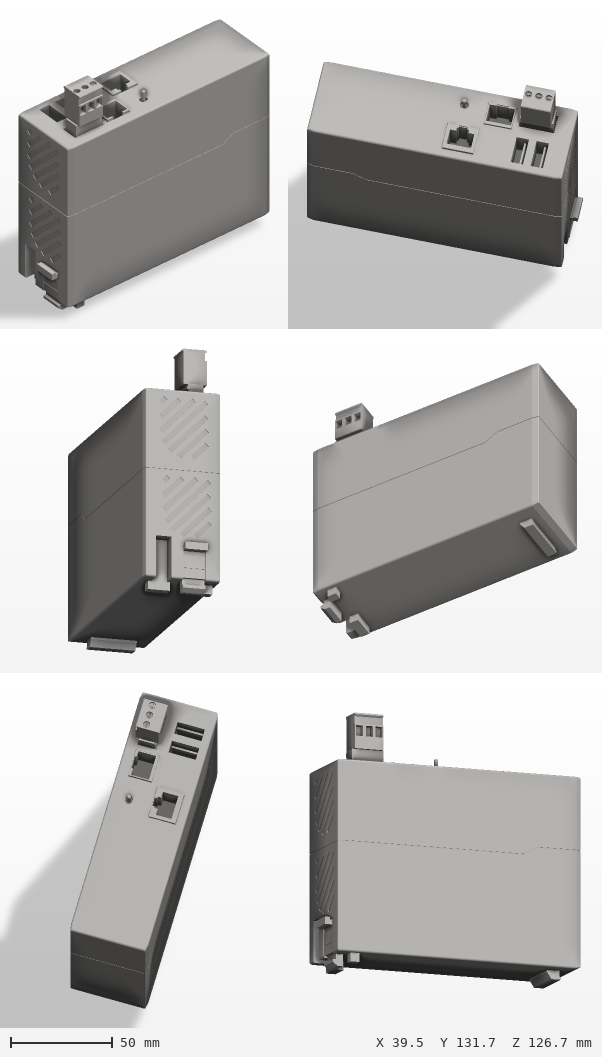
import cadquery as cq
import math


width = 39.5
depth = 127.9
height = 96.2
half_width = width / 2
end_taper_length = 3.5
end_taper = 0.7
corner_radius = 0.5
rim_radius = 1.0
rear_bevel_rise = 1.0

seam_width = 0.4
seam_depth = 0.3
seam_front_z = 55.1
seam_rear_z = 59.0
seam_ramp_front_y = 98.0
seam_ramp_rear_y = 104.7

vent_depth = 0.4
vent_bar_width = 2.6
vent_pitch = 7.2
vent_spans = [(0, 2.4), (0, 9.4), (0, 16.9), (1.3, 23.3), (4.5, 23.3), (9.2, 23.7), (16.3, 23.7)]
upper_vent_corner = (-12.3, 90.1)
lower_vent_corner = (-10.8, 50.0)

cable_slot_x = (-13.8, -5.9)
cable_slot_top = 21.1
foot_y = (7.4, 12.3)
foot_height = 4.5
foot_x_ranges = [(-15.7, -4.3), (13.2, 17.4)]

latch_x = (0.1, 11.7)
latch_top = 18.2
latch_step_z = 12.3
latch_upper_recess = 0.5
latch_lower_recess = 0.3
latch_groove_z = 5.5
latch_reach = 3.8
latch_drop = 6.0
latch_relief = (2.0, 0.8)
tab_bottom = 14.5
tab_shoulder = 16.9
tab_lip = 2.5
hook_half_length = latch_x[1]

socket_depth = 13.2
socket_gap = 0.4
socket_gap_depth = 0.7
network_jack_x = (-15.2, -1.6)
network_jack_y = (45.3, 61.0)
network_jack_rise = 0.8
serial_jack_x = (2.0, 13.7)
serial_jack_y = (29.9, 43.6)
serial_jack_rise = 1.2
usb_x = (-15.5, -1.6)
usb_opening = 6.2
usb_front_edges = [10.3, 20.3]
usb_tongue_y = (1.3, 2.2)
usb_tongue_drop = 4.0

toggle_x = 10.1
toggle_y = 55.3
toggle_hole_diameter = 3.5
toggle_hole_length = 4.5
toggle_hole_depth = 1.3
toggle_diameter = 2.0
toggle_rise = 5.3
toggle_chamfer = 0.4

plug_center_y = 18.0
plug_top = height + 24.5
plug_bottom = height + 6.6
plug_length = 14.9
plug_top_chamfer = 0.4
plug_x = (3.7, 15.5)
plug_lip = 0.5
plug_lip_height = 0.9
plug_lip_end = 1.7
plug_notch_depth = 0.9
plug_notch_bottom = 115.3
neck_x = (5.9, 13.7)
neck_length = 16.6
neck_ridge = 0.9
neck_ridge_z = height + 3.8
plug_seat_depth = 5.3
plug_seat_x = (4.5, 14.1)
plug_seat_y = (9.0, 26.9)
screw_x = 10.5
screw_pitch = 5.1
screw_diameter = 3.5
screw_recess = 1.6
driver_slot_width = 0.9
driver_slot_depth = 0.7
wire_entry_z = (109.1, 114.4)
wire_entry_floor_x = 12.0
wire_entry_width = 3.7


def block(x_range, y_range, z_range):
    """Box between the given limits."""
    size = [high - low for low, high in (x_range, y_range, z_range)]
    corner = (x_range[0], y_range[0], z_range[0])
    return cq.Workplane("XY").box(*size, centered=False).translate(corner)


def extrude_along_x(profile, x_range):
    """Closed (Y, Z) profile extruded between two X positions."""
    length = x_range[1] - x_range[0]
    return cq.Workplane("YZ").workplane(offset=x_range[0]).polyline(profile).close().extrude(length)


def plan_outline(inset):
    """(X, Y) corners of the housing plan, moved inward by an inset."""
    side = half_width - inset
    end = side - end_taper
    right = [
        (end, inset),
        (side, end_taper_length),
        (side, depth - end_taper_length),
        (end, depth - inset),
    ]
    left = [(-x, y) for x, y in reversed(right)]
    return right + left


def shell_prism(inset):
    """Full-height prism of the housing plan with rounded upright end corners."""
    prism = cq.Workplane("XY").polyline(plan_outline(inset)).close().extrude(height)
    end_corners = prism.edges("|Z").filter(
        lambda edge: abs(edge.Center().y - depth / 2) > depth / 2 - end_taper_length / 2
    )
    return prism.newObject(end_corners.vals()).fillet(corner_radius)


def make_shell():
    shell = shell_prism(0).faces("<Z or >Z").edges().fillet(rim_radius)
    rear_bevel = extrude_along_x(
        [(depth - end_taper_length, 0), (depth, rear_bevel_rise), (depth, 0)],
        (-half_width, half_width),
    )
    return shell.cut(rear_bevel)


def make_seam():
    """Ring that runs around the housing and steps up towards the rear."""
    lower_line = [
        (0, seam_front_z),
        (seam_ramp_front_y, seam_front_z),
        (seam_ramp_rear_y, seam_rear_z),
        (depth, seam_rear_z),
    ]
    upper_line = [(y, z + seam_width) for y, z in reversed(lower_line)]
    slab = extrude_along_x(lower_line + upper_line, (-half_width, half_width))
    return slab.cut(shell_prism(seam_depth))


def make_vents(corner):
    """Diagonal bars at 45 degrees; the corner is the left tip of the first bar."""
    corner_x, corner_z = corner
    shift = vent_bar_width / math.sqrt(2)
    vents = cq.Workplane("XZ")
    for index, (start, end) in enumerate(vent_spans):
        left_tip = (corner_x + start, corner_z - index * vent_pitch + start)
        top_tip = (corner_x + end, corner_z - index * vent_pitch + end)
        right_tip = (top_tip[0] + shift, top_tip[1] - shift)
        bottom_tip = (left_tip[0] + shift, left_tip[1] - shift)
        vents = vents.polyline([left_tip, top_tip, right_tip, bottom_tip]).close()
    return vents.extrude(-vent_depth)


def add_rail_feet(housing):
    housing = housing.cut(block(cable_slot_x, (0, foot_y[0]), (0, cable_slot_top)))
    for x_range in foot_x_ranges:
        housing = housing.union(block(x_range, foot_y, (-foot_height, rim_radius)))
    return housing


def add_latch(housing):
    """Recessed latch plate with a finger tab above and a rail claw below."""
    housing = housing.cut(block(latch_x, (0, latch_upper_recess), (latch_step_z, latch_top)))
    housing = housing.cut(block(latch_x, (0, latch_lower_recess), (0, latch_step_z)))
    groove_z = (latch_groove_z, latch_groove_z + seam_width)
    housing = housing.cut(block(latch_x, (0, latch_upper_recess), groove_z))
    housing = housing.cut(block(latch_x, (0, latch_relief[0]), (0, latch_relief[1])))
    tab = [
        (latch_upper_recess, tab_bottom),
        (-latch_reach, tab_bottom),
        (-latch_reach, latch_top),
        (-latch_reach + tab_lip, latch_top),
        (-latch_reach + tab_lip, tab_shoulder),
        (latch_upper_recess, tab_shoulder),
    ]
    claw = [
        (5.5, rim_radius),
        (5.5, -latch_drop),
        (2.9, -latch_drop),
        (0.3, -4.2),
        (0.3, -2.6),
        (latch_relief[0], -2.6),
        (latch_relief[0], rim_radius),
    ]
    return housing.union(extrude_along_x(tab, latch_x)).union(extrude_along_x(claw, latch_x))


def add_rear_hook(housing):
    hook = [
        (113.2, 0.7),
        (119.6, 0.7),
        (119.6, -2.8),
        (120.4, -3.5),
        (120.4, -foot_height),
        (115.4, -foot_height),
        (113.2, -1.0),
    ]
    return housing.union(extrude_along_x(hook, (-hook_half_length, hook_half_length)))


def add_network_jack(housing):
    """Raised jack in a slightly larger opening, with a stepped keyway on its right."""
    x_low, x_high = network_jack_x
    y_low, y_high = network_jack_y
    top = height + network_jack_rise
    opening_x = (x_low - socket_gap, x_high + socket_gap)
    opening_y = (y_low, y_high + socket_gap)
    housing = housing.cut(block(opening_x, opening_y, (height - socket_gap_depth, height)))
    housing = housing.union(block(network_jack_x, network_jack_y, (height - socket_gap_depth, top)))
    cavity_z = (height - socket_depth, top)
    housing = housing.cut(block((-12.6, -4.7), (47.0, 59.3), cavity_z))
    housing = housing.cut(block((-4.7, -3.0), (50.0, 56.1), cavity_z))
    return housing.cut(block((-3.0, x_high), (51.0, 55.3), cavity_z))


def add_serial_jack(housing):
    """Raised thin-walled jack with one wide keyway on its right."""
    x_low, x_high = serial_jack_x
    y_low, y_high = serial_jack_y
    top = height + serial_jack_rise
    opening_x = (x_low, x_high + socket_gap)
    opening_y = (y_low - socket_gap, y_high + socket_gap)
    housing = housing.cut(block(opening_x, opening_y, (height - socket_gap_depth, height)))
    housing = housing.union(block(serial_jack_x, serial_jack_y, (height - socket_gap_depth, top)))
    cavity_z = (height - socket_depth, top)
    housing = housing.cut(block((3.5, 12.6), (30.5, 43.1), cavity_z))
    return housing.cut(block((12.6, x_high), (33.5, 39.7), cavity_z))


def add_usb_ports(housing):
    for front_y in usb_front_edges:
        pocket_z = (height - socket_depth, height)
        housing = housing.cut(block(usb_x, (front_y, front_y + usb_opening), pocket_z))
        tongue_x = (usb_x[0] + socket_gap, usb_x[1] - socket_gap)
        tongue_y = (front_y + usb_tongue_y[0], front_y + usb_tongue_y[1])
        tongue_z = (height - socket_depth, height - usb_tongue_drop)
        housing = housing.union(block(tongue_x, tongue_y, tongue_z))
    return housing


def add_toggle(housing):
    hole = (
        cq.Workplane("XY", origin=(toggle_x, toggle_y, height))
        .slot2D(toggle_hole_length, toggle_hole_diameter, 90)
        .extrude(-toggle_hole_depth)
    )
    lever = (
        cq.Workplane("XY", origin=(toggle_x, toggle_y, height - toggle_hole_depth))
        .circle(toggle_diameter / 2)
        .extrude(toggle_hole_depth + toggle_rise)
        .faces(">Z")
        .chamfer(toggle_chamfer)
    )
    return housing.cut(hole).union(lever)


def make_housing():
    housing = make_shell()
    housing = housing.cut(make_seam())
    for corner in (upper_vent_corner, lower_vent_corner):
        housing = housing.cut(make_vents(corner))
    housing = add_rail_feet(housing)
    housing = add_latch(housing)
    housing = add_rear_hook(housing)
    housing = add_network_jack(housing)
    housing = add_serial_jack(housing)
    housing = add_usb_ports(housing)
    housing = add_toggle(housing)
    return housing.cut(block(plug_seat_x, plug_seat_y, (height - plug_seat_depth, height)))


def centered_range(center, length):
    return (center - length / 2, center + length / 2)


def extrude_plug_profile(profile, length):
    """Closed (X, Z) profile extruded evenly to both sides of the plug's middle."""
    start = (0, plug_center_y, 0)
    return cq.Workplane("XZ", origin=start).polyline(profile).close().extrude(length / 2, both=True)


def make_plug_body():
    left, right = plug_x
    notch_x = right - plug_notch_depth
    body = extrude_plug_profile(
        [
            (left, plug_bottom),
            (right, plug_bottom),
            (right, plug_notch_bottom),
            (notch_x, plug_notch_bottom),
            (notch_x, plug_top - plug_lip_end),
            (right, plug_top - plug_lip_height),
            (right, plug_top),
            (left - plug_lip, plug_top),
            (left - plug_lip, plug_top - plug_lip_height),
            (left, plug_top - plug_lip_end),
        ],
        plug_length,
    )
    return body.faces(">Z").edges("|Y").chamfer(plug_top_chamfer)


def make_plug_neck():
    """Narrow lower part that sits on the floor of the socket, with a sloped ridge on its left."""
    left, right = neck_x
    seat_z = height - plug_seat_depth
    return extrude_plug_profile(
        [
            (left, seat_z),
            (right, seat_z),
            (right, plug_bottom),
            (left, plug_bottom),
            (left - neck_ridge, neck_ridge_z),
            (left, neck_ridge_z),
        ],
        neck_length,
    )


def make_plug():
    plug = make_plug_body().union(make_plug_neck())
    recess_floor = plug_top - screw_recess
    for index in (-1, 0, 1):
        terminal_y = plug_center_y + index * screw_pitch
        recess = (
            cq.Workplane("XY", origin=(screw_x, terminal_y, recess_floor))
            .circle(screw_diameter / 2)
            .extrude(screw_recess)
        )
        driver_slot = (
            cq.Workplane("XY", origin=(screw_x, terminal_y, recess_floor))
            .rect(driver_slot_width, screw_diameter - driver_slot_width)
            .extrude(-driver_slot_depth)
        )
        entry_x = (wire_entry_floor_x, plug_x[1])
        wire_entry = block(entry_x, centered_range(terminal_y, wire_entry_width), wire_entry_z)
        plug = plug.cut(recess).cut(driver_slot).cut(wire_entry)
    return plug


housing = make_housing()
terminal_plug = make_plug()

result = cq.Compound.makeCompound([housing.val(), terminal_plug.val()])